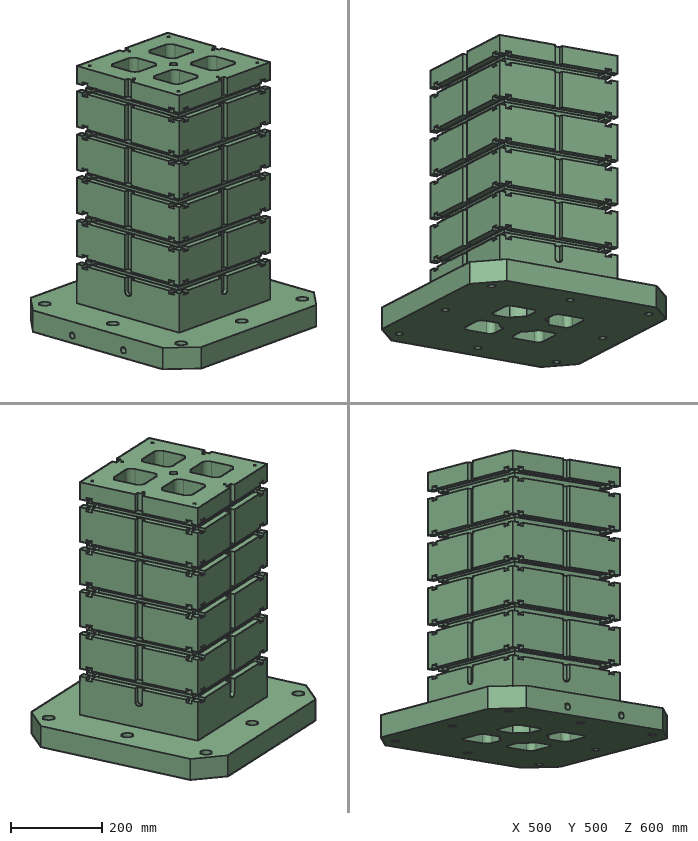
import cadquery as cq
import math

base_side = 500.0
base_thickness = 50.0
base_corner_chamfer = 60.0

column_side = 300.0
total_height = 600.0
column_height = total_height - base_thickness

core_side = 200.0
roof_thickness = 50.0
rib_width = 45.0
core_corner_radius = 15.0
hub_diameter = 109.0
window_side = (core_side - rib_width) / 2
window_offset = (core_side + rib_width) / 4

t_slot_count = 5
t_slot_pitch = 100.0
t_slot_top_inset = 50.0
t_slot_top_z = total_height - t_slot_top_inset
t_neck_width = 18.0
t_neck_depth = 31.0
t_head_width = 32.0
t_head_start = 16.0
t_head_end = 30.0

key_slot_width = 18.0
key_slot_depth = 10.0
key_slot_arc_centre_z = 110.0

bolt_pitch = 200.0
bolt_diameter = 18.0
bolt_counterbore_diameter = 26.0
bolt_counterbore_depth = 30.0
top_hole_pitch = 130.0
top_hole_diameter = 5.0
top_hole_depth = 15.0
lifting_hole_diameter = 17.5
lifting_hole_depth = 40.0
side_hole_diameter = 14.0
side_hole_depth = 35.0
side_hole_spacing = 150.0
side_hole_z = 18.0
drill_point_angle = 118.0

FACE_ANGLES = (0, 90, 180, 270)


def ring_of_eight(pitch):
    """Corners and edge midpoints of a square centred on the Z axis."""
    steps = (-pitch, 0, pitch)
    return [(x, y) for x in steps for y in steps if (x, y) != (0, 0)]


def cut_on_each_face(body, cutter):
    """Cut a tool made for the -Y face into all four column faces."""
    for angle in FACE_ANGLES:
        body = body.cut(cutter.rotate((0, 0, 0), (0, 0, 1), angle))
    return body


def drill(diameter, depth):
    """Blind drill tool pointing down -Z from the origin, with a conical tip."""
    radius = diameter / 2
    tip_length = radius / math.tan(math.radians(drill_point_angle / 2))
    profile = (
        cq.Workplane("XZ")
        .moveTo(0, 0)
        .lineTo(radius, 0)
        .lineTo(radius, -depth)
        .lineTo(0, -depth - tip_length)
        .close()
    )
    return profile.revolve(360, (0, 0, 0), (0, 1, 0))


def make_body():
    base = (
        cq.Workplane("XY")
        .rect(base_side, base_side)
        .extrude(base_thickness)
        .edges("|Z")
        .chamfer(base_corner_chamfer)
    )
    column = (
        cq.Workplane("XY")
        .workplane(offset=base_thickness)
        .rect(column_side, column_side)
        .extrude(column_height)
    )
    return base.union(column)


def make_windows(bottom_z, height):
    """Four rounded square openings between the ribs of a cross."""
    return (
        cq.Workplane("XY")
        .workplane(offset=bottom_z)
        .rect(2 * window_offset, 2 * window_offset, forConstruction=True)
        .vertices()
        .rect(window_side, window_side)
        .extrude(height)
        .edges("|Z")
        .fillet(core_corner_radius)
    )


def cut_core(body):
    roof_z = total_height - roof_thickness
    core = (
        cq.Workplane("XY")
        .workplane(offset=base_thickness)
        .rect(core_side, core_side)
        .extrude(roof_z - base_thickness)
        .edges("|Z")
        .fillet(core_corner_radius)
    )
    hub = cq.Workplane("XY").circle(hub_diameter / 2).extrude(base_thickness)
    floor_windows = make_windows(0, base_thickness).cut(hub)
    roof_windows = make_windows(roof_z, roof_thickness)
    return body.cut(core).cut(floor_windows).cut(roof_windows)


def cut_t_slots(body):
    face_y = -column_side / 2
    head_depth = t_head_end - t_head_start
    for index in range(t_slot_count):
        z = t_slot_top_z - index * t_slot_pitch
        neck = cq.Workplane("XY").box(column_side, t_neck_depth, t_neck_width)
        neck = neck.translate((0, face_y + t_neck_depth / 2, z))
        head = cq.Workplane("XY").box(column_side, head_depth, t_head_width)
        head = head.translate((0, face_y + t_head_start + head_depth / 2, z))
        body = cut_on_each_face(body, neck.union(head))
    return body


def cut_key_slots(body):
    face_y = -column_side / 2
    straight_length = total_height - key_slot_arc_centre_z
    straight = (
        cq.Workplane("XY")
        .box(key_slot_width, key_slot_depth, straight_length)
        .translate((0, face_y + key_slot_depth / 2, key_slot_arc_centre_z + straight_length / 2))
    )
    round_end = (
        cq.Workplane("XZ", origin=(0, face_y, key_slot_arc_centre_z))
        .circle(key_slot_width / 2)
        .extrude(-key_slot_depth)
    )
    return cut_on_each_face(body, straight.union(round_end))


def cut_base_holes(body):
    through_hole = cq.Workplane("XY").circle(bolt_diameter / 2).extrude(base_thickness)
    counterbore = (
        cq.Workplane("XY")
        .workplane(offset=base_thickness - bolt_counterbore_depth)
        .circle(bolt_counterbore_diameter / 2)
        .extrude(bolt_counterbore_depth)
    )
    bolt_hole = through_hole.union(counterbore)
    for x, y in ring_of_eight(bolt_pitch):
        body = body.cut(bolt_hole.translate((x, y, 0)))
    side_drill = drill(side_hole_diameter, side_hole_depth).rotate((0, 0, 0), (1, 0, 0), 90)
    for x in (-side_hole_spacing / 2, side_hole_spacing / 2):
        body = body.cut(side_drill.translate((x, -base_side / 2, side_hole_z)))
    return body


def cut_top_holes(body):
    top_drill = drill(top_hole_diameter, top_hole_depth)
    for x, y in ring_of_eight(top_hole_pitch):
        body = body.cut(top_drill.translate((x, y, total_height)))
    lifting_drill = drill(lifting_hole_diameter, lifting_hole_depth)
    return body.cut(lifting_drill.translate((0, 0, total_height)))


result = make_body()
result = cut_core(result)
result = cut_t_slots(result)
result = cut_key_slots(result)
result = cut_base_holes(result)
result = cut_top_holes(result)